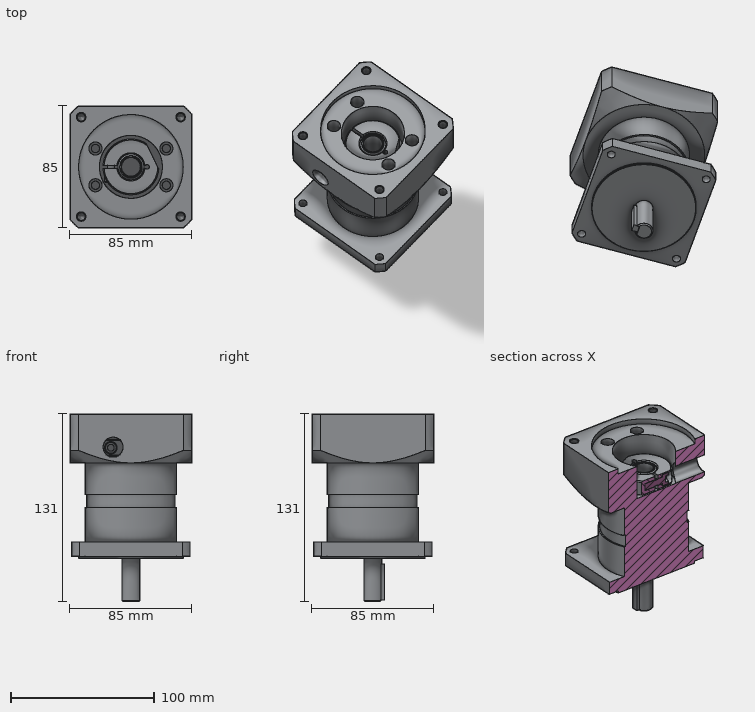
import cadquery as cq
import math

shaft_length = 30.0
pilot_height = 1.7
flange_thickness = 10.1
lower_barrel_height = 24.0
waist_height = 9.0
overall_height = 131.0
block_height = 34.1

pilot_bottom = shaft_length
flange_bottom = pilot_bottom + pilot_height
flange_top = flange_bottom + flange_thickness
waist_bottom = flange_top + lower_barrel_height
waist_top = waist_bottom + waist_height
block_bottom = overall_height - block_height

shaft_radius = 6.3
shaft_chamfer = 0.9
key_width = 5.0
key_tip = 8.1
key_seat = 3.9
key_bottom = 1.2
key_length = 25.2
pilot_radius = 36.5
pilot_chamfer = 0.4
flange_width = 82.8
flange_corner_radius = 54.9
barrel_radius = 32.0
waist_radius = 30.9

block_width = 85.0
block_corner_radius = 56.2
taper_height = 8.8
bolt_spacing = 69.5
flange_hole_radius = 2.8
thread_radius = 2.8
thread_mouth_radius = 3.3
thread_depth = 19.7
drill_half_angle = 59.0
recess_radius = 36.5
recess_depth = 4.0
bore_radius = 22.0
bore_floor = 101.0
cover_screw_x = 24.8
cover_screw_y = 12.8
counterbore_radius = 4.6
counterbore_floor = 102.2
cover_screw_radius = 2.9
cover_screw_floor = 91.7
access_radius = 7.0
access_x = -12.5
access_z = bore_floor + access_radius

sleeve_radius = 9.0
sleeve_chamfer = 1.2
sleeve_top = 113.4
sleeve_bore_radius = 6.5
sleeve_mouth_chamfer = 0.5
sleeve_bore_floor = 86.5

collar_radius = 19.5
collar_chamfer = 0.8
collar_bottom = 101.7
collar_top = sleeve_top
collar_flat_distance = 16.8
collar_flat_angle = 26.0
slot_width = 2.1
relief_hole_x = 11.3
relief_hole_radius = 1.6
screw_x = -14.0
screw_z = (collar_bottom + collar_top) / 2
screw_head_radius = 4.3
screw_head_front = -10.7
screw_head_height = 5.0
screw_head_chamfer = 0.5
screw_radius = 2.5
screw_tip = 9.7
socket_radius = 2.4
socket_depth = 2.5

screw_seat = screw_head_front + screw_head_height


def cylinder(radius, bottom, top, x=0.0, y=0.0):
    """Upright cylinder between two heights."""
    return cq.Workplane("XY").workplane(offset=bottom).center(x, y).circle(radius).extrude(top - bottom)


def cylinder_along_y(radius, x, z, y_start, y_end):
    """Cylinder parallel to the Y axis between two Y positions."""
    base = cq.Workplane("XZ", origin=(x, y_start, z))
    return base.circle(radius).extrude(y_start - y_end)


def square_prism(width, bottom, top):
    """Square prism centred on the Z axis."""
    return cq.Workplane("XY").workplane(offset=bottom).rect(width, width).extrude(top - bottom)


def bolt_points():
    """Corners of the square bolt pattern shared by the flange and the block."""
    half = bolt_spacing / 2
    return [(x, y) for x in (-half, half) for y in (-half, half)]


def make_flange():
    """Square flange with rounded-off corners, bolt holes and the pilot under it."""
    flange = square_prism(flange_width, flange_bottom, flange_top)
    flange = flange.intersect(cylinder(flange_corner_radius, flange_bottom, flange_top))
    for x, y in bolt_points():
        flange = flange.cut(cylinder(flange_hole_radius, flange_bottom, flange_top, x, y))
    pilot = cylinder(pilot_radius, pilot_bottom, flange_bottom).faces("<Z").chamfer(pilot_chamfer)
    return flange.union(pilot)


def make_output_shaft():
    """Output shaft with its key, the keyway running out through the shaft end."""
    shaft = cylinder(shaft_radius, 0, pilot_bottom).faces("<Z").chamfer(shaft_chamfer)
    key_top = key_bottom + key_length
    keyway = cq.Workplane("XY").box(key_width, shaft_radius, key_top, centered=(True, False, False))
    key = cq.Workplane("XY").box(key_width, key_tip - key_seat, key_length, centered=(True, False, False))
    shaft = shaft.cut(keyway.translate((0, key_seat, 0)))
    return shaft.union(key.translate((0, key_seat, key_bottom)))


def make_barrel():
    """Round gear housing with a narrower waist."""
    barrel = cylinder(barrel_radius, flange_top, waist_bottom)
    barrel = barrel.union(cylinder(waist_radius, waist_bottom, waist_top))
    return barrel.union(cylinder(barrel_radius, waist_top, block_bottom))


def make_tapped_hole(x, y):
    """Cutter for a blind tapped hole with a chamfered mouth and a drill-point bottom."""
    mouth_depth = thread_mouth_radius - thread_radius
    point_depth = thread_radius / math.tan(math.radians(drill_half_angle))
    profile = [
        (0, 0),
        (thread_mouth_radius, 0),
        (thread_radius, -mouth_depth),
        (thread_radius, -thread_depth),
        (0, -thread_depth - point_depth),
    ]
    cutter = cq.Workplane("XZ").polyline(profile).close().revolve(360, (0, 0), (0, 1))
    return cutter.translate((x, y, overall_height))


def make_block():
    """Square motor block: turned corners and underside taper, stepped bore and holes."""
    half = block_width / 2
    turned_profile = [
        (0, block_bottom),
        (half, block_bottom),
        (block_corner_radius, block_bottom + taper_height),
        (block_corner_radius, overall_height),
        (0, overall_height),
    ]
    turned = cq.Workplane("XZ").polyline(turned_profile).close().revolve(360, (0, 0), (0, 1))
    block = square_prism(block_width, block_bottom, overall_height).intersect(turned)
    block = block.cut(cylinder(recess_radius, overall_height - recess_depth, overall_height))
    block = block.cut(cylinder(bore_radius, bore_floor, overall_height))
    for x, y in bolt_points():
        block = block.cut(make_tapped_hole(x, y))
    return block.cut(cylinder_along_y(access_radius, access_x, access_z, -half, 0))


def make_sleeve():
    """Input sleeve standing on the floor of the bore."""
    return cylinder(sleeve_radius, bore_floor, sleeve_top).faces(">Z").chamfer(sleeve_chamfer)


def make_sleeve_bore():
    """Cutter for the blind sleeve bore with its chamfered mouth."""
    profile = [
        (0, sleeve_top),
        (sleeve_bore_radius + sleeve_mouth_chamfer, sleeve_top),
        (sleeve_bore_radius, sleeve_top - sleeve_mouth_chamfer),
        (sleeve_bore_radius, sleeve_bore_floor),
        (0, sleeve_bore_floor),
    ]
    return cq.Workplane("XZ").polyline(profile).close().revolve(360, (0, 0), (0, 1))


def make_gearbox():
    """Gearbox: flange, output shaft, barrel, motor block and input sleeve."""
    gearbox = make_flange().union(make_output_shaft()).union(make_barrel()).union(make_block())
    gearbox = gearbox.union(make_sleeve()).cut(make_sleeve_bore())
    for x in (-cover_screw_x, cover_screw_x):
        for y in (-cover_screw_y, cover_screw_y):
            gearbox = gearbox.cut(cylinder(counterbore_radius, counterbore_floor, overall_height, x, y))
            gearbox = gearbox.cut(cylinder(cover_screw_radius, cover_screw_floor, overall_height, x, y))
    return gearbox


def make_collar():
    """Split clamp collar around the sleeve, with a balancing flat and a seat for the screw."""
    height = collar_top - collar_bottom
    collar = cylinder(collar_radius, collar_bottom, collar_top)
    collar = collar.cut(cylinder(sleeve_radius, collar_bottom, collar_top))
    collar = collar.faces("<Z or >Z").edges().chamfer(collar_chamfer)

    flat = cq.Workplane("XY").box(collar_radius, 2 * collar_radius, height, centered=(False, True, False))
    flat = flat.translate((collar_flat_distance, 0, collar_bottom))
    collar = collar.cut(flat.rotate((0, 0, 0), (0, 0, 1), collar_flat_angle))

    slot_length = collar_radius + relief_hole_x
    slot = cq.Workplane("XY").box(slot_length, slot_width, height, centered=(False, True, False))
    collar = collar.cut(slot.translate((-collar_radius, 0, collar_bottom)))
    collar = collar.cut(cylinder(relief_hole_radius, collar_bottom, collar_top, relief_hole_x))

    collar = collar.cut(cylinder_along_y(screw_head_radius, screw_x, screw_z, -collar_radius, screw_seat))
    return collar.cut(cylinder_along_y(screw_radius, screw_x, screw_z, screw_seat, screw_tip))


def make_clamp_screw():
    """Cap screw with a round socket that closes the collar's slot."""
    head = cylinder_along_y(screw_head_radius, screw_x, screw_z, screw_head_front, screw_seat)
    head = head.faces("<Y").chamfer(screw_head_chamfer)
    socket_floor = screw_head_front + socket_depth
    socket = cylinder_along_y(socket_radius, screw_x, screw_z, screw_head_front, socket_floor)
    shank = cylinder_along_y(screw_radius, screw_x, screw_z, screw_seat, screw_tip)
    return head.cut(socket).union(shank)


gearbox = make_gearbox().solids()
collar = make_collar().solids()
clamp_screw = make_clamp_screw().solids()

result = cq.Compound.makeCompound([gearbox.val(), collar.val(), clamp_screw.val()])